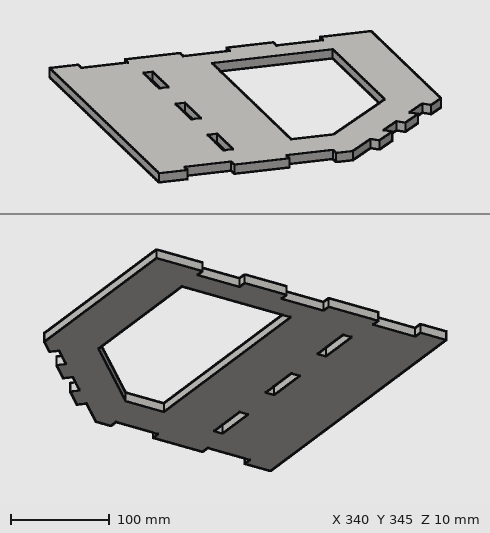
import cadquery as cq
import math

WIDTH = 340.0
HEIGHT = 345.0
THICKNESS = 10.0

NOTCH_DEPTH = THICKNESS
NOTCH_LENGTH = 50.0
LEFT_NOTCH_STARTS = (30.8, 140.0, 240.0)
RIGHT_NOTCH_STARTS = (30.8, 140.0)

CORNER_SIDE = 137.1
CORNER_NOTCH_LENGTH = 30.0
CORNER_NOTCH_PITCH = 60.0
CORNER_NOTCH_COUNT = 2
FIRST_CORNER_NOTCH = 32.9

WINDOW_LEFT = 40.0
WINDOW_RIGHT = 285.3
WINDOW_BOTTOM = 160.7
WINDOW_TOP = 290.0
CORNER_FRAME_WIDTH = 40.0

SLOT_LENGTH = 49.6
SLOT_WIDTH = 10.0
SLOT_PITCH = 100.0
SLOT_COUNT = 3
SLOT_CENTER_Y = 90.0


def corner_point(along, outward):
    """Point at a distance along the corner's base edge and outward from it."""
    diagonal = math.sqrt(0.5)
    x = WIDTH - CORNER_SIDE + (along + outward) * diagonal
    y = HEIGHT + (outward - along) * diagonal
    return (x, y)


def corner_profile():
    """Toothed corner from the top edge down to the right edge."""
    points = [corner_point(NOTCH_DEPTH, NOTCH_DEPTH)]
    for index in range(CORNER_NOTCH_COUNT):
        start = FIRST_CORNER_NOTCH + index * CORNER_NOTCH_PITCH
        end = start + CORNER_NOTCH_LENGTH
        points.append(corner_point(start, NOTCH_DEPTH))
        points.append(corner_point(start, 0))
        points.append(corner_point(end, 0))
        points.append(corner_point(end, NOTCH_DEPTH))
    last_tooth_end = FIRST_CORNER_NOTCH + CORNER_NOTCH_COUNT * CORNER_NOTCH_PITCH
    points.append(corner_point(last_tooth_end, NOTCH_DEPTH))
    points.append(corner_point(last_tooth_end, 0))
    points.append((WIDTH, HEIGHT - CORNER_SIDE))
    return points


def plate():
    outline = [(WIDTH, 0), (0, 0), (0, HEIGHT)] + corner_profile()
    return cq.Workplane("XY").polyline(outline).close().extrude(THICKNESS)


def side_notch(left, bottom):
    box = cq.Workplane("XY").box(NOTCH_DEPTH, NOTCH_LENGTH, THICKNESS, centered=False)
    return box.translate((left, bottom, 0))


def window():
    base_edge_sum = WIDTH - CORNER_SIDE + HEIGHT
    slope_sum = base_edge_sum - CORNER_FRAME_WIDTH * math.sqrt(2)
    outline = [
        (WINDOW_LEFT, WINDOW_BOTTOM),
        (WINDOW_RIGHT, WINDOW_BOTTOM),
        (WINDOW_RIGHT, slope_sum - WINDOW_RIGHT),
        (slope_sum - WINDOW_TOP, WINDOW_TOP),
        (WINDOW_LEFT, WINDOW_TOP),
    ]
    return cq.Workplane("XY").polyline(outline).close().extrude(THICKNESS)


def slots():
    return (
        cq.Workplane("XY")
        .center(WIDTH / 2, SLOT_CENTER_Y)
        .rarray(SLOT_PITCH, 1, SLOT_COUNT, 1)
        .rect(SLOT_LENGTH, SLOT_WIDTH)
        .extrude(THICKNESS)
    )


result = plate().cut(window()).cut(slots())
for notch_start in LEFT_NOTCH_STARTS:
    result = result.cut(side_notch(0, notch_start))
for notch_start in RIGHT_NOTCH_STARTS:
    result = result.cut(side_notch(WIDTH - NOTCH_DEPTH, notch_start))